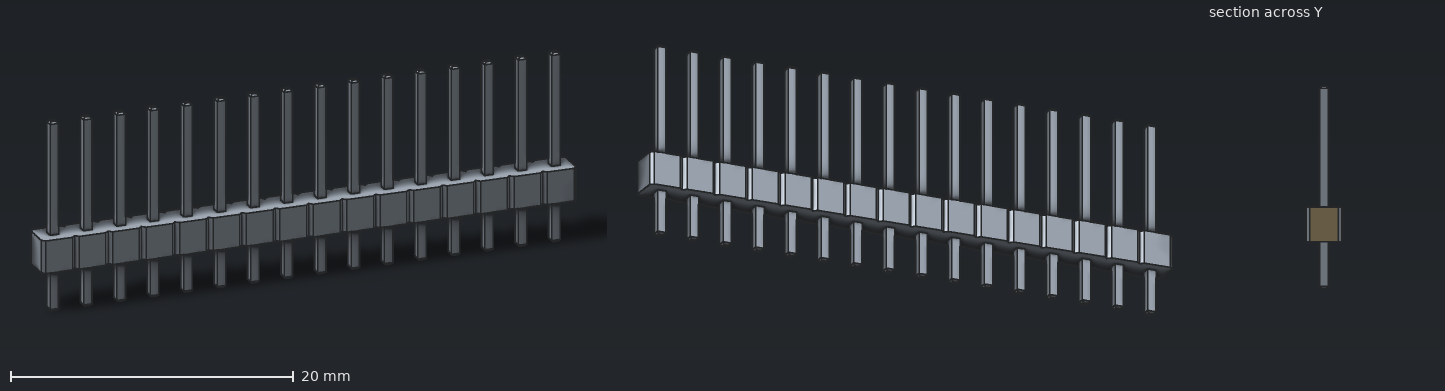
import cadquery as cq

row_length = 40.65
pin_count = 16
pitch = row_length / pin_count

body_width = pitch
body_height = 2.48
corner_bevel = 0.255

overall_height = 14.3
tail_length = 3.3
pin_width = 0.65
tip_bevel = 0.155


def pin_positions():
    """Centres of the pins, spaced evenly about the middle of the row."""
    first_y = (pitch - row_length) / 2
    return [(0, first_y + index * pitch) for index in range(pin_count)]


def make_cell():
    """Body block around one pin; neighbouring bevels meet in a V-shaped break line."""
    cell = cq.Workplane("XY").box(body_width, pitch, body_height, centered=(True, True, False))
    return cell.edges("|Z").chamfer(corner_bevel)


def make_pin():
    """Square pin reaching below and above the body, bevelled at both ends."""
    pin = cq.Workplane("XY").workplane(offset=-tail_length)
    pin = pin.box(pin_width, pin_width, overall_height, centered=(True, True, False))
    return pin.faces("<Z or >Z").chamfer(tip_bevel)


pin_cell = make_cell().union(make_pin()).val()

row = cq.Workplane("XY").pushPoints(pin_positions())
result = row.eachpoint(lambda location: pin_cell.moved(location), combine="a", clean=True)